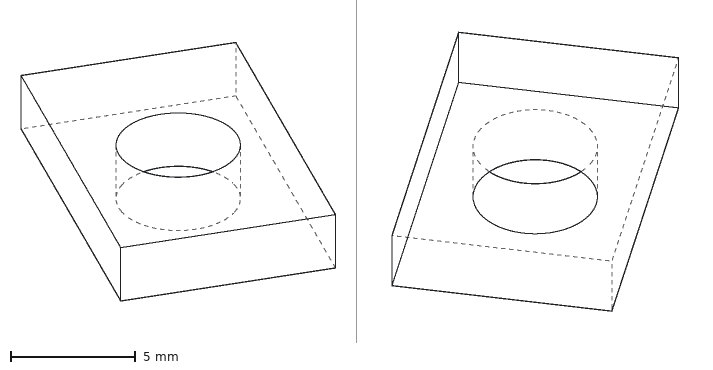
import cadquery as cq

length = 14.0
width = 9.0
thickness = 2.5
hole_diameter = 5.0

plate = cq.Workplane("XY").box(length, width, thickness)
result = plate.faces(">Z").workplane().hole(hole_diameter)